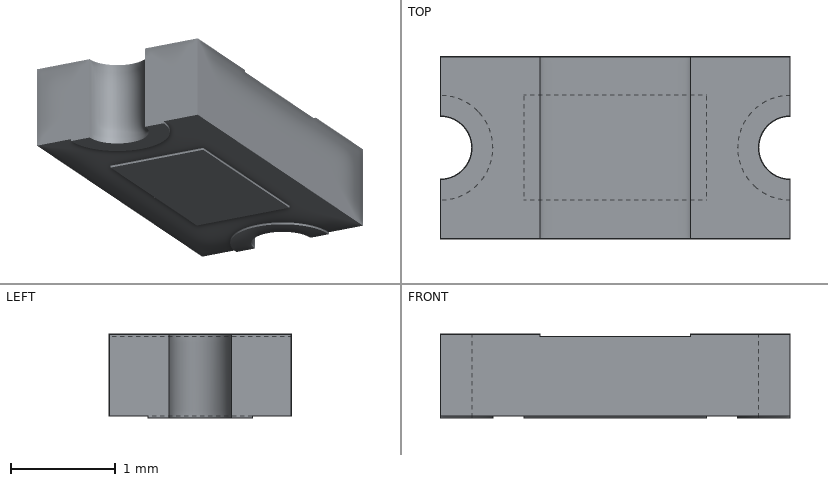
import cadquery as cq

length = 3.34
width = 1.74
height = 0.8
layer_thickness = 0.02
end_layer_length = 0.952
notch_radius = 0.3
end_pad_radius = 0.5
center_pad_length = 1.745
center_pad_width = 2 * end_pad_radius

core_height = height - 2 * layer_thickness
core_top = core_height / 2
core_bottom = -core_height / 2
end_positions = (-length / 2, length / 2)


def block(x_size, y_size, z_size, x_center, z_bottom):
    """Box centred on the part's Y axis plane, standing on z_bottom."""
    return (
        cq.Workplane("XY")
        .box(x_size, y_size, z_size, centered=(True, True, False))
        .translate((x_center, 0, z_bottom))
    )


def cylinder(radius, z_size, x_center, z_bottom):
    """Upright cylinder on the lengthwise centre line."""
    return (
        cq.Workplane("XY", origin=(x_center, 0, z_bottom))
        .circle(radius)
        .extrude(z_size)
    )


core = block(length, width, core_height, 0, core_bottom)
pad_bottom = core_bottom - layer_thickness
result = core.union(
    block(center_pad_length, center_pad_width, layer_thickness, 0, pad_bottom)
)

envelope = block(length, width, height, 0, pad_bottom)
for end_x in end_positions:
    inward = -1 if end_x > 0 else 1
    layer_x = end_x + inward * end_layer_length / 2
    result = result.union(
        block(end_layer_length, width, layer_thickness, layer_x, core_top)
    )
    end_pad = cylinder(end_pad_radius, layer_thickness, end_x, pad_bottom)
    result = result.union(end_pad.intersect(envelope))

for end_x in end_positions:
    result = result.cut(cylinder(notch_radius, height, end_x, pad_bottom))